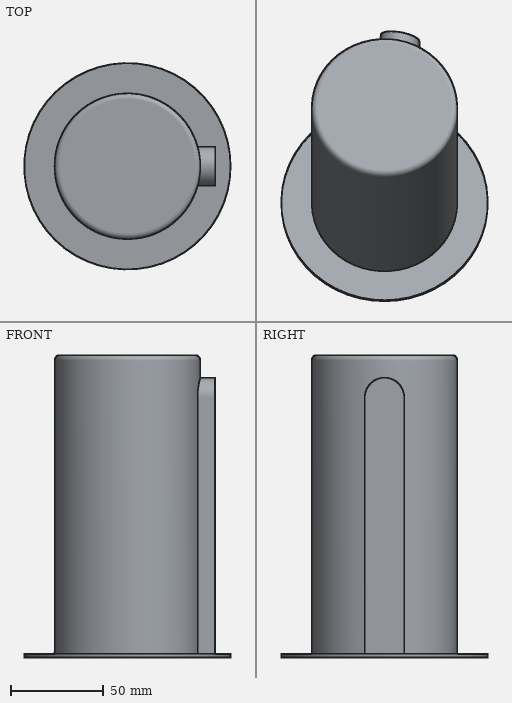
import cadquery as cq

total_height = 164.0
flange_diameter = 112.0
flange_thickness = 2.0

body_diameter = 79.0
top_edge_radius = 3.0

rib_reach = 47.5
rib_width = 21.3
rib_top = 151.7


def make_flange():
    return cq.Workplane("XY").circle(flange_diameter / 2).extrude(flange_thickness)


def make_body():
    body = cq.Workplane("XY").circle(body_diameter / 2).extrude(total_height)
    return body.faces(">Z").edges().fillet(top_edge_radius)


def make_rib():
    """Round-ended strip in the YZ plane, run from the body axis out to its face."""
    half_width = rib_width / 2
    arc_start = rib_top - half_width
    return (
        cq.Workplane("YZ")
        .moveTo(-half_width, 0)
        .lineTo(-half_width, arc_start)
        .threePointArc((0, rib_top), (half_width, arc_start))
        .lineTo(half_width, 0)
        .close()
        .extrude(rib_reach)
    )


result = make_flange().union(make_body()).union(make_rib())